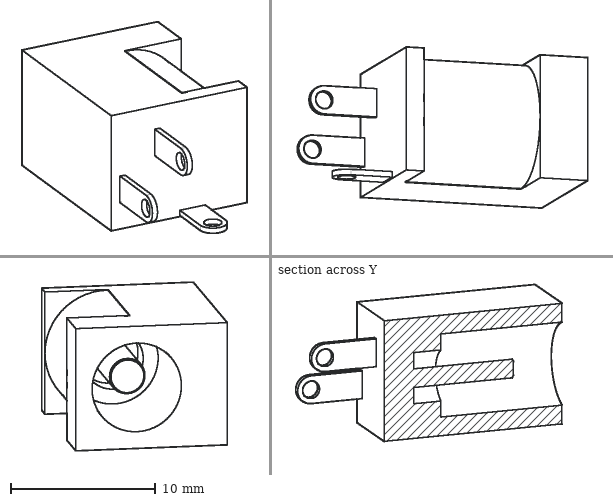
import cadquery as cq

overall_length = 18.0
body_length = 13.2
body_width = 10.7
body_height = 8.7

barrel_radius = 4.3
axis_y = body_width - barrel_radius
axis_z = body_height / 2
bore_diameter = 6.3
bore_depth = 9.0
inner_bore_diameter = 4.2
inner_bore_depth = 11.0
pin_diameter = 2.5
pin_setback = 3.6
pin_chamfer = 0.09

front_wall = 3.47
rear_wall = 1.3
relief_width = 4.45

tab_width = 2.0
tab_thickness = 0.4
tab_hole_diameter = 1.25
tab_embed = 0.36
side_tab_length = overall_length - body_length
bottom_tab_length = 4.0
upper_tab_y = 3.62
upper_tab_z = 6.0
lower_tab_y = 0.88
lower_tab_z = 3.0
bottom_tab_z = 0.29


def rod(diameter, start, end):
    """Cylinder on the socket axis between two X positions."""
    return (
        cq.Workplane("YZ", origin=(start, axis_y, axis_z))
        .circle(diameter / 2)
        .extrude(end - start)
    )


def housing():
    """Block with its +Y side relieved down to the rounded barrel."""
    block = cq.Workplane("XY").box(body_length, body_width, body_height, centered=False)
    relief_length = body_length - front_wall - rear_wall
    relief = (
        cq.Workplane("XY")
        .box(relief_length, relief_width, body_height, centered=False)
        .translate((front_wall, body_width - relief_width, 0))
    )
    barrel = rod(2 * barrel_radius, front_wall, body_length - rear_wall)
    return block.cut(relief).union(barrel)


def center_pin():
    """Contact pin rising from the bottom of the inner bore."""
    return rod(pin_diameter, pin_setback, body_length - rear_wall).faces("<X").chamfer(pin_chamfer)


def solder_tab(length):
    """Flat tab along +X, centered on its root, with a round drilled end."""
    end_radius = tab_width / 2
    hole_x = length - end_radius
    return (
        cq.Workplane("XY", origin=(0, 0, -tab_thickness / 2))
        .moveTo(-tab_embed, -end_radius)
        .lineTo(hole_x, -end_radius)
        .threePointArc((length, 0), (hole_x, end_radius))
        .lineTo(-tab_embed, end_radius)
        .close()
        .moveTo(hole_x, 0)
        .circle(tab_hole_diameter / 2)
        .extrude(tab_thickness)
    )


result = (
    housing()
    .cut(rod(bore_diameter, 0, bore_depth))
    .cut(rod(inner_bore_diameter, bore_depth, inner_bore_depth))
    .union(center_pin())
)

upright_tab = solder_tab(side_tab_length).rotate((0, 0, 0), (1, 0, 0), 90)
for tab_y, tab_z in ((upper_tab_y, upper_tab_z), (lower_tab_y, lower_tab_z)):
    result = result.union(upright_tab.translate((body_length, tab_y, tab_z)))

bottom_tab = solder_tab(bottom_tab_length)
result = result.union(bottom_tab.translate((body_length, axis_y, bottom_tab_z)))